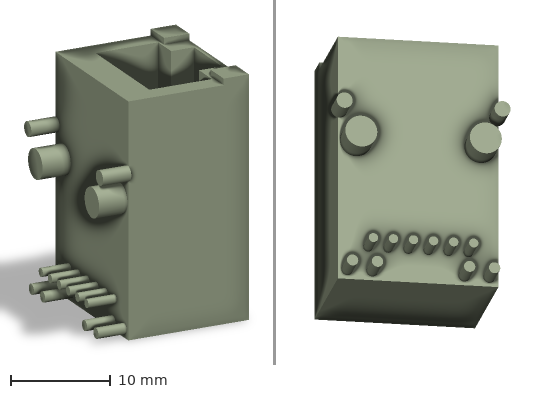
import cadquery as cq

housing_width = 16.33
housing_depth = 13.5
overall_height = 26.17

block_height = 0.7
block_width = 2.98
block_depth = 2.83
housing_height = overall_height - block_height

socket_width = 12.05
socket_front_wall = 3.43
socket_back_wall = 3.05
latch_slot_width = 6.28
latch_back_wall = 0.5
socket_length = 13.08

pin_length = 3.17

pin_span = 17.7
shield_tab_radius = 0.8
shield_tab_x = pin_span / 2 - shield_tab_radius
shield_tab_z = 17.77

peg_radius = 1.62
peg_x = 6.33
peg_z = 14.6

contact_radius = 0.47
contact_count = 6
contact_pitch = 2.05
contact_z = 3.45

led_pin_radius = 0.58
led_pin_inner_x = 4.68
led_pin_outer_x = 7.22
led_pin_z = 0.97


def block(width, front, back, bottom, top, center_x=0.0):
    """Box centred on center_x, spanning front..back in Y and bottom..top in Z."""
    size = (width, back - front, top - bottom)
    corner = (center_x - width / 2, front, bottom)
    return cq.Workplane("XY").box(*size, centered=False).translate(corner)


def front_pins(x_positions, z, radius):
    """Row of round pins reaching forward (-Y) from the front face."""
    points = [(x, z) for x in x_positions]
    return cq.Workplane("XZ").pushPoints(points).circle(radius).extrude(pin_length)


def mirrored(*distances):
    """X positions at each distance on both sides of the middle."""
    return [side * distance for distance in distances for side in (-1, 1)]


result = block(housing_width, 0, housing_depth, 0, housing_height)
for block_x in mirrored((housing_width - block_width) / 2):
    block_front = housing_depth - block_depth
    result = result.union(
        block(block_width, block_front, housing_depth, housing_height, overall_height, block_x)
    )

socket_floor = housing_height - socket_length
socket_back = housing_depth - socket_back_wall
latch_back = housing_depth - latch_back_wall
result = result.cut(block(socket_width, socket_front_wall, socket_back, socket_floor, housing_height))
result = result.cut(block(latch_slot_width, socket_front_wall, latch_back, socket_floor, housing_height))

contact_row_start = -contact_pitch * (contact_count - 1) / 2
contact_x = [contact_row_start + i * contact_pitch for i in range(contact_count)]
result = result.union(front_pins(mirrored(shield_tab_x), shield_tab_z, shield_tab_radius))
result = result.union(front_pins(mirrored(peg_x), peg_z, peg_radius))
result = result.union(front_pins(contact_x, contact_z, contact_radius))
led_pin_x = mirrored(led_pin_inner_x, led_pin_outer_x)
result = result.union(front_pins(led_pin_x, led_pin_z, led_pin_radius))